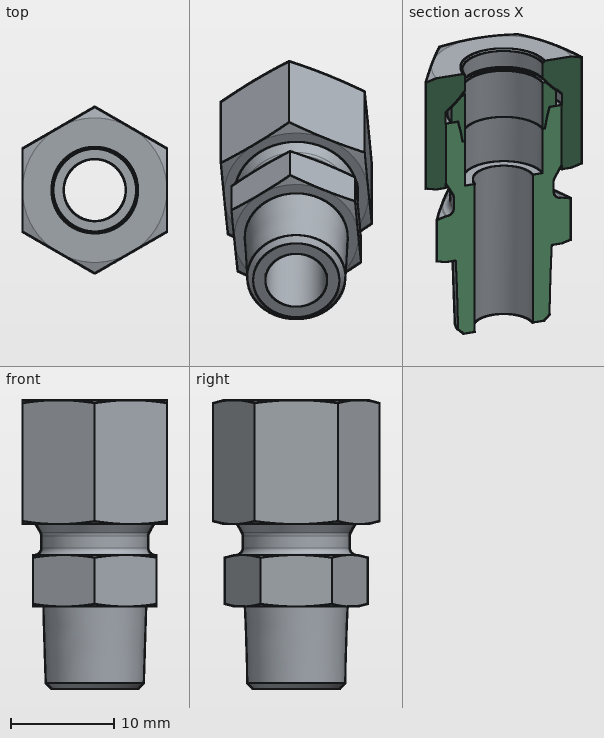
import cadquery as cq
import math


HEX_BOTTOM = 8.0
HEX_TOP = 13.0
NUT_BOTTOM = 16.0
NUT_TOP = 28.0
THREAD_START = 15.05
BODY_TOP = 22.95
RING_NOSE_DEPTH = 2.25
TUBE_STOP = 15.95
RING_TOP = 25.68

TUBE_RADIUS = 8.0 / 2
FLOW_RADIUS = 6.0 / 2
THREAD_RADIUS = 12.0 / 2
NECK_RADIUS = 10.4 / 2
STUD_RADIUS = 10.0 / 2
RING_RADIUS = 10.92 / 2
SEAT_MOUTH_RADIUS = 9.4 / 2

NUT_FLATS = 14.0
BODY_FLATS = 12.0
HEX_CHAMFER_ANGLE = 15.0

STUD_TAPER = 1 / 16
STUD_CHAMFER = 0.6
NECK_FILLET = 0.7
RUNOUT_ANGLE = 30.0
SEAT_ANGLE = 12.0
NUT_CONE_START = 26.1
MOUTH_CHAMFER = 0.2


def tan_deg(angle):
    return math.tan(math.radians(angle))


RING_BOTTOM = BODY_TOP - RING_NOSE_DEPTH
NOSE_RADIUS = SEAT_MOUTH_RADIUS - RING_NOSE_DEPTH * tan_deg(SEAT_ANGLE)


def revolve(profile):
    """Turn a closed (radius, height) profile about the Z axis."""
    return profile.close().revolve(360, (0, 0, 0), (0, 1, 0))


def cylinder(radius, bottom, top):
    return cq.Workplane("XY").workplane(offset=bottom).circle(radius).extrude(top - bottom)


def chamfered_hexagon(flats, bottom, top):
    """Hexagonal prism with flats facing +X and -X and turned corners at both ends."""
    corner_radius = flats / math.sqrt(3)
    flat_radius = flats / 2
    drop = (corner_radius - flat_radius) * tan_deg(HEX_CHAMFER_ANGLE)
    prism = (
        cq.Workplane("XY")
        .workplane(offset=bottom)
        .polygon(6, 2 * corner_radius)
        .extrude(top - bottom)
        .rotate((0, 0, 0), (0, 0, 1), 90)
    )
    envelope = revolve(
        cq.Workplane("XZ")
        .moveTo(0, bottom)
        .lineTo(flat_radius, bottom)
        .lineTo(corner_radius, bottom + drop)
        .lineTo(corner_radius, top - drop)
        .lineTo(flat_radius, top)
        .lineTo(0, top)
    )
    return prism.intersect(envelope)


def tapered_stud():
    """Tapered pipe thread blank below the hexagon, chamfered at its free end."""
    chamfer_edge_radius = STUD_RADIUS - (HEX_BOTTOM - STUD_CHAMFER) * STUD_TAPER / 2
    return revolve(
        cq.Workplane("XZ")
        .lineTo(chamfer_edge_radius - STUD_CHAMFER, 0)
        .lineTo(chamfer_edge_radius, STUD_CHAMFER)
        .lineTo(STUD_RADIUS, HEX_BOTTOM)
        .lineTo(0, HEX_BOTTOM)
    )


def neck_and_thread():
    """Thread blank above the hexagon with a filleted undercut below it."""
    runout_top = THREAD_START + (THREAD_RADIUS - NECK_RADIUS) / tan_deg(RUNOUT_ANGLE)
    tangent_length = NECK_FILLET * tan_deg(RUNOUT_ANGLE / 2)
    turn = math.radians(RUNOUT_ANGLE)
    half_turn = turn / 2
    fillet_start = THREAD_START - tangent_length
    fillet_mid = (
        NECK_RADIUS + NECK_FILLET * (1 - math.cos(half_turn)),
        fillet_start + NECK_FILLET * math.sin(half_turn),
    )
    fillet_end = (
        NECK_RADIUS + NECK_FILLET * (1 - math.cos(turn)),
        fillet_start + NECK_FILLET * math.sin(turn),
    )
    root_offset = NECK_FILLET * (1 - math.sqrt(0.5))
    return revolve(
        cq.Workplane("XZ")
        .moveTo(0, HEX_TOP)
        .lineTo(NECK_RADIUS + NECK_FILLET, HEX_TOP)
        .threePointArc(
            (NECK_RADIUS + root_offset, HEX_TOP + root_offset),
            (NECK_RADIUS, HEX_TOP + NECK_FILLET),
        )
        .lineTo(NECK_RADIUS, fillet_start)
        .threePointArc(fillet_mid, fillet_end)
        .lineTo(THREAD_RADIUS, runout_top)
        .lineTo(THREAD_RADIUS, BODY_TOP)
        .lineTo(0, BODY_TOP)
    )


def make_body():
    """Stud body: bored through, with a tube socket and a conical ring seat at the top."""
    outside = (
        tapered_stud()
        .union(chamfered_hexagon(BODY_FLATS, HEX_BOTTOM, HEX_TOP))
        .union(neck_and_thread())
    )
    ring_seat = revolve(
        cq.Workplane("XZ")
        .moveTo(0, RING_BOTTOM)
        .lineTo(NOSE_RADIUS, RING_BOTTOM)
        .lineTo(SEAT_MOUTH_RADIUS, BODY_TOP)
        .lineTo(0, BODY_TOP)
    )
    return (
        outside
        .cut(ring_seat)
        .cut(cylinder(TUBE_RADIUS, TUBE_STOP, BODY_TOP))
        .cut(cylinder(FLOW_RADIUS, 0, BODY_TOP))
    )


def nut_cone_radius(height):
    """Radius of the 45 degree cone inside the nut."""
    return TUBE_RADIUS + NUT_CONE_START - height


def make_ring():
    """Cutting ring: a shoulder under the nut cone and a tapered nose in the body seat."""
    shoulder_top = NUT_CONE_START - (RING_RADIUS - TUBE_RADIUS)
    return revolve(
        cq.Workplane("XZ")
        .moveTo(TUBE_RADIUS, RING_BOTTOM)
        .lineTo(NOSE_RADIUS, RING_BOTTOM)
        .lineTo(SEAT_MOUTH_RADIUS, BODY_TOP)
        .lineTo(RING_RADIUS, BODY_TOP)
        .lineTo(RING_RADIUS, shoulder_top)
        .lineTo(nut_cone_radius(RING_TOP), RING_TOP)
        .lineTo(TUBE_RADIUS, RING_TOP)
    )


def make_nut():
    """Union nut: threaded bore, 45 degree cone and a chamfered tube hole."""
    cone_bottom = NUT_CONE_START - (THREAD_RADIUS - TUBE_RADIUS)
    bore = revolve(
        cq.Workplane("XZ")
        .moveTo(0, NUT_BOTTOM)
        .lineTo(THREAD_RADIUS, NUT_BOTTOM)
        .lineTo(THREAD_RADIUS, cone_bottom)
        .lineTo(TUBE_RADIUS, NUT_CONE_START)
        .lineTo(TUBE_RADIUS, NUT_TOP - MOUTH_CHAMFER)
        .lineTo(TUBE_RADIUS + MOUTH_CHAMFER, NUT_TOP)
        .lineTo(0, NUT_TOP)
    )
    return chamfered_hexagon(NUT_FLATS, NUT_BOTTOM, NUT_TOP).cut(bore)


body = make_body()
cutting_ring = make_ring()
nut = make_nut()

result = cq.Compound.makeCompound([body.val(), cutting_ring.val(), nut.val()])